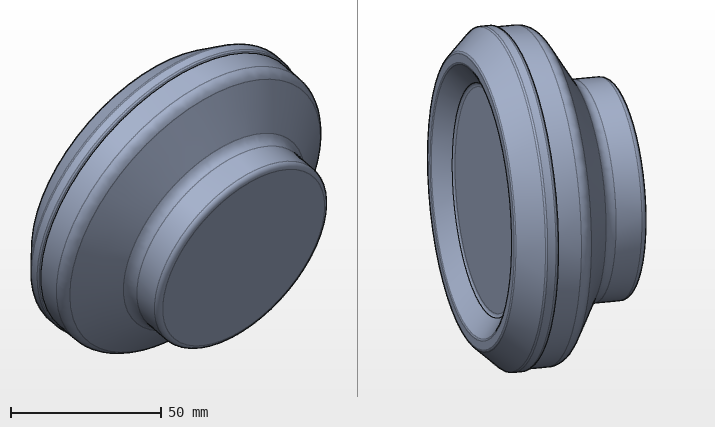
import cadquery as cq
import math


length = 50.1
outer_diameter = 115.9

front_radius = 50.1
opening_radius = 46.2
bevel_end = 8.7
ring_back = 13.1
ring_fillet = 1.0

housing_diameter = 114.5
knob_diameter = 75.0
shoulder_start = 23.8
shoulder_end = 36.4
shoulder_fillet = 5.0
knob_end_fillet = 2.0

floor_depth = 6.0
floor_radius = 38.0
dish_fillet = 2.0
dish_angle = math.radians(45)

outer_radius = outer_diameter / 2
housing_radius = housing_diameter / 2
knob_radius = knob_diameter / 2
band_end = ring_back - (outer_radius - housing_radius)


def dish_point(angle):
    """Point on the dish fillet after it has swept the given angle up from the floor."""
    return (
        floor_depth - dish_fillet * (1 - math.cos(angle)),
        floor_radius + dish_fillet * math.sin(angle),
    )


rim_depth, rim_radius = dish_point(dish_angle)


def turn(profile):
    """Close an (x, radius) profile and turn it one full revolution about the X axis."""
    return profile.close().revolve(360, (0, 0, 0), (1, 0, 0))


def fillet_circles(body, x, fillet_radius):
    """Round every circular edge that lies in the plane at the given X position."""
    tolerance = 0.01
    plane_slab = cq.selectors.BoxSelector(
        (x - tolerance, -outer_diameter, -outer_diameter),
        (x + tolerance, outer_diameter, outer_diameter),
        boundingbox=True,
    )
    return body.edges(plane_slab).fillet(fillet_radius)


def make_ring():
    """Bevelled front ring that fits around the raised floor of the housing."""
    ring = turn(
        cq.Workplane("XY")
        .moveTo(rim_depth, rim_radius)
        .lineTo(0, opening_radius)
        .lineTo(0, front_radius)
        .lineTo(bevel_end, outer_radius)
        .lineTo(band_end, outer_radius)
        .lineTo(ring_back, housing_radius)
        .lineTo(ring_back, rim_radius)
    )
    for corner_x in (0, bevel_end, band_end):
        ring = fillet_circles(ring, corner_x, ring_fillet)
    return ring


def make_housing():
    """Solid housing: raised dished floor, wide rim, cone and knob."""
    housing = turn(
        cq.Workplane("XY")
        .moveTo(floor_depth, 0)
        .lineTo(floor_depth, floor_radius)
        .threePointArc(dish_point(dish_angle / 2), (rim_depth, rim_radius))
        .lineTo(ring_back, rim_radius)
        .lineTo(ring_back, housing_radius)
        .lineTo(shoulder_start, housing_radius)
        .lineTo(shoulder_end, knob_radius)
        .lineTo(length, knob_radius)
        .lineTo(length, 0)
    )
    housing = fillet_circles(housing, shoulder_start, shoulder_fillet)
    housing = fillet_circles(housing, shoulder_end, shoulder_fillet)
    return fillet_circles(housing, length, knob_end_fillet)


ring = make_ring()
housing = make_housing()
result = cq.Compound.makeCompound([ring.val(), housing.val()])